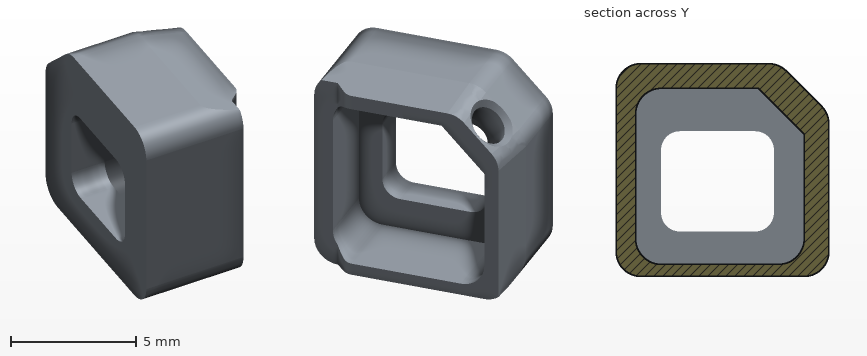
import cadquery as cq
import math

side = 8.5
depth = 5.0
corner_radius = 1.0
chamfer = 2.0

taper_start = 3.0
taper_inset = 0.4

window_left, window_right = 2.2, 6.7
window_bottom, window_top = 1.8, 5.8
window_radius = 0.75
lip_thickness = 1.5
pocket_left, pocket_right = 1.0, 7.7
pocket_bottom, pocket_top = 0.5, 7.5
pocket_radius = 1.0
pocket_chamfer = 1.83

step_depth = 0.6
step_start = side - corner_radius
step_blend = 0.55

hole_diameter = 1.6
countersink_diameter = 2.06
hole_y = 3.88
hole_reach = 1.87

overrun = 1.7

half_turn = math.radians(22.5)


def rounded_box(left, right, bottom, top, y_start, y_end, edges, radius):
    """Box along Y with the selected long edges rounded."""
    box = cq.Workplane("XY").box(right - left, y_end - y_start, top - bottom, centered=False)
    return box.edges(edges).fillet(radius).translate((left, y_start, bottom))


def chamfer_wire(inset, y):
    """Outline with its left, top and chamfer sides moved in by inset.

    It overruns the block on the right and below, and the chamfer ends are rounded.
    """
    left = inset
    top = side - inset
    leg = chamfer - inset * (2 - math.sqrt(2))
    tangent = corner_radius * math.tan(half_turn)
    diagonal = tangent * math.sqrt(0.5)
    sin_half = corner_radius * math.sin(half_turn)
    cos_half = corner_radius * math.cos(half_turn)
    low_arc_z = top - leg - tangent
    high_arc_x = left + leg + tangent
    return (
        cq.Workplane("XZ", origin=(0, y, 0))
        .moveTo(left, -overrun)
        .lineTo(left, low_arc_z)
        .threePointArc(
            (left + corner_radius - cos_half, low_arc_z + sin_half),
            (left + diagonal, top - leg + diagonal),
        )
        .lineTo(left + leg - diagonal, top - diagonal)
        .threePointArc(
            (high_arc_x - sin_half, top - corner_radius + cos_half),
            (high_arc_x, top),
        )
        .lineTo(side + overrun, top)
        .lineTo(side + overrun, -overrun)
        .close()
        .val()
    )


def loft_between(front_wire, rear_wire):
    return cq.Workplane(cq.Solid.makeLoft([front_wire, rear_wire], True))


def outer_block():
    square = rounded_box(0, side, 0, side, 0, depth, "|Y and (<Z or >X)", corner_radius)
    straight = loft_between(chamfer_wire(0, 0), chamfer_wire(0, taper_start))
    tapered = loft_between(chamfer_wire(0, taper_start), chamfer_wire(taper_inset, depth))
    return square.intersect(straight).union(square.intersect(tapered))


def window():
    return rounded_box(
        window_left, window_right, window_bottom, window_top, 0, depth, "|Y", window_radius
    )


def pocket():
    """Rear pocket with a flat parallel to the outer chamfer at its upper left."""
    width = pocket_right - pocket_left
    height = pocket_top - pocket_bottom
    box = cq.Workplane("XY").box(width, depth - lip_thickness, height, centered=False)
    box = box.edges("|Y and <X and >Z").chamfer(pocket_chamfer)
    box = box.edges("|Y and (<Z or >X)").fillet(pocket_radius)
    return box.translate((pocket_left, lip_thickness, pocket_bottom))


def rear_step():
    ramp_top = step_start - step_depth
    tangent = step_blend * math.tan(half_turn)
    diagonal = tangent * math.sqrt(0.5)
    sin_half = step_blend * math.sin(half_turn)
    sag_half = step_blend * (1 - math.cos(half_turn))
    return (
        cq.Workplane("XY")
        .moveTo(ramp_top - tangent, depth)
        .threePointArc(
            (ramp_top - tangent + sin_half, depth - sag_half),
            (ramp_top + diagonal, depth - diagonal),
        )
        .lineTo(step_start, depth - step_depth)
        .lineTo(side + overrun, depth - step_depth)
        .lineTo(side + overrun, depth)
        .close()
        .extrude(side)
    )


def countersunk_hole():
    """Hole centred along the chamfer, with a 45 degree countersink."""
    slope = taper_inset / (depth - taper_start)
    face_shift = (chamfer + slope * (hole_y - taper_start) * math.sqrt(2)) / 2
    centre = cq.Vector(face_shift, hole_y, side - face_shift)
    inward = cq.Vector(math.sqrt(0.5), -slope, -math.sqrt(0.5)).normalized()
    outside = centre - inward * overrun
    bore = cq.Solid.makeCylinder(hole_diameter / 2, hole_reach + overrun, outside, inward)
    sink_depth = (countersink_diameter - hole_diameter) / 2
    sink = cq.Solid.makeCone(
        countersink_diameter / 2, hole_diameter / 2, sink_depth, centre, inward
    )
    mouth = cq.Solid.makeCylinder(countersink_diameter / 2, overrun, outside, inward)
    return cq.Workplane(bore).union(cq.Workplane(sink)).union(cq.Workplane(mouth))


result = (
    outer_block()
    .cut(window())
    .cut(pocket())
    .cut(rear_step())
    .cut(countersunk_hole())
)